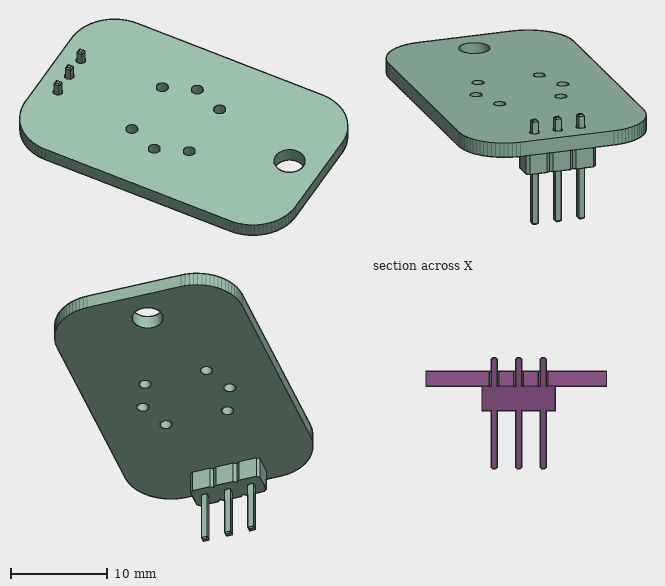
import cadquery as cq
import math

BOARD_LENGTH = 31.75
BOARD_WIDTH = 20.32
BOARD_THICKNESS = 1.6
CORNER_RADIUS = 5.02
CORNER_FACETS = 18

CENTRE_LINE_Y = 0.25
MOUNTING_HOLE_X = 12.3
MOUNTING_HOLE_DIAMETER = 3.2

RING_X = -0.92
RING_Y = -0.03
RING_RADIUS = 4.75
RING_HOLE_DIAMETER = 1.25
RING_ANGLES = [45, 90, 135, 225, 270, 315]

PIN_COUNT = 3
PIN_PITCH = 2.55
HEADER_X = -13.55
PIN_HOLE_DIAMETER = 1.0
BLOCK_SIZE_X = PIN_PITCH
BLOCK_HEIGHT = 2.55
BLOCK_CHAMFER_X = 0.25
BLOCK_CHAMFER_Y = 0.32
PIN_WIDTH = 0.65
PIN_ABOVE_BOARD = 1.4
PIN_BELOW_BLOCK = 6.0
PIN_TIP_CHAMFER = 0.15

PIN_TOP_Z = BOARD_THICKNESS + PIN_ABOVE_BOARD
PIN_BOTTOM_Z = -BLOCK_HEIGHT - PIN_BELOW_BLOCK
PIN_POSITIONS = [
    (HEADER_X, CENTRE_LINE_Y + (i - (PIN_COUNT - 1) / 2) * PIN_PITCH)
    for i in range(PIN_COUNT)
]


def board_outline():
    """Corner points of the board, each corner a quarter circle of equal flats."""
    arc_x = BOARD_LENGTH / 2 - CORNER_RADIUS
    arc_y = BOARD_WIDTH / 2 - CORNER_RADIUS
    arc_centres = [(arc_x, arc_y), (-arc_x, arc_y), (-arc_x, -arc_y), (arc_x, -arc_y)]
    points = []
    for corner, (x, y) in enumerate(arc_centres):
        for step in range(CORNER_FACETS + 1):
            angle = math.pi / 2 * (corner + step / CORNER_FACETS)
            points.append((x + CORNER_RADIUS * math.cos(angle), y + CORNER_RADIUS * math.sin(angle)))
    return points


def through_holes(positions, diameter):
    """Cylinders that cut the full board thickness."""
    return cq.Workplane("XY").pushPoints(positions).circle(diameter / 2).extrude(BOARD_THICKNESS)


def make_board():
    ring_positions = [
        (
            RING_X + RING_RADIUS * math.cos(math.radians(angle)),
            RING_Y + RING_RADIUS * math.sin(math.radians(angle)),
        )
        for angle in RING_ANGLES
    ]
    board = cq.Workplane("XY").polyline(board_outline()).close().extrude(BOARD_THICKNESS)
    board = board.cut(through_holes([(MOUNTING_HOLE_X, CENTRE_LINE_Y)], MOUNTING_HOLE_DIAMETER))
    board = board.cut(through_holes(ring_positions, RING_HOLE_DIAMETER))
    return board.cut(through_holes(PIN_POSITIONS, PIN_HOLE_DIAMETER))


def make_block(x, y):
    """One octagonal section of the header block, hanging below the board."""
    half_x = BLOCK_SIZE_X / 2
    half_y = PIN_PITCH / 2
    flat_x = half_x - BLOCK_CHAMFER_X
    flat_y = half_y - BLOCK_CHAMFER_Y
    outline = [
        (half_x, -flat_y),
        (half_x, flat_y),
        (flat_x, half_y),
        (-flat_x, half_y),
        (-half_x, flat_y),
        (-half_x, -flat_y),
        (-flat_x, -half_y),
        (flat_x, -half_y),
    ]
    return cq.Workplane("XY").center(x, y).polyline(outline).close().extrude(-BLOCK_HEIGHT)


def make_pin(x, y):
    """Square pin with both tips chamfered."""
    pin = cq.Workplane("XY", origin=(x, y, PIN_BOTTOM_Z)).rect(PIN_WIDTH, PIN_WIDTH)
    return pin.extrude(PIN_TOP_Z - PIN_BOTTOM_Z).faces("<Z or >Z").chamfer(PIN_TIP_CHAMFER)


def make_header():
    """Block sections and the pins moulded into them, as one body."""
    header = cq.Workplane("XY")
    for x, y in PIN_POSITIONS:
        header = header.union(make_block(x, y)).union(make_pin(x, y))
    return header


board = make_board()
header = make_header()

result = cq.Compound.makeCompound([board.val(), header.val()])